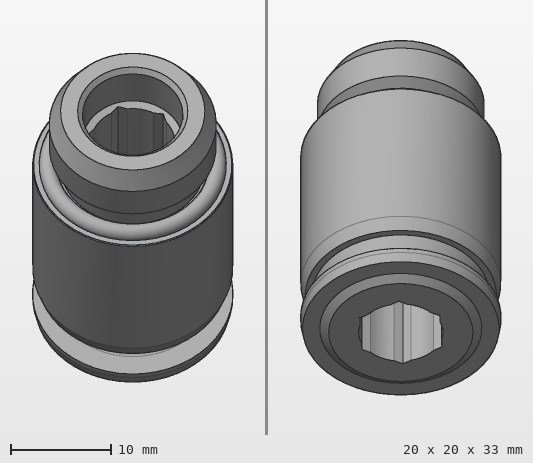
import cadquery as cq
import math

HEIGHT = 33.0
FLANGE_UNDERSIDE_Z = 0.55
FLANGE_TAPER_TOP_Z = 1.65
FLANGE_TOP_Z = 2.2
LOWER_CONE_Z = 3.6
UPPER_CONE_Z = 5.05
BODY_BOTTOM_Z = 6.57
BODY_TOP_Z = 23.95
RING_CENTRE_Z = 24.02
RING_TOP_Z = 24.9
HEAD_BOTTOM_Z = 26.45
HEAD_LOWER_EDGE_Z = 27.13
HEAD_UPPER_EDGE_Z = 30.92

FLANGE_DIAMETER = 20.0
FLANGE_BOTTOM_DIAMETER = 19.6
BASE_DIAMETER = 14.4
BASE_TOP_DIAMETER = 16.17
LOWER_NECK_DIAMETER = 14.9
NECK_FOOT_RADIUS = 0.4
LOWER_CONE_BOTTOM_DIAMETER = 16.83
LOWER_CONE_TOP_DIAMETER = 17.75
UPPER_CONE_BOTTOM_DIAMETER = 19.07
BODY_DIAMETER = 19.95
BODY_EDGE_CHAMFER = 0.1
RING_DIAMETER = 18.68
UPPER_NECK_DIAMETER = 14.52
HEAD_DIAMETER = 16.65
HEAD_TOP_DIAMETER = 14.4

COUNTERBORE_DIAMETER = 10.0
COUNTERBORE_DEPTH = 5.05
COUNTERBORE_CHAMFER = 0.5
FLOOR_DROP = 0.23
THROUGH_HOLE_DIAMETER = 8.4
HEX_ACROSS_FLATS = 8.0


def frustum(bottom_z, top_z, bottom_diameter, top_diameter):
    """Cone section, or cylinder when both diameters match, around the Z axis."""
    outline = [
        (0, bottom_z),
        (bottom_diameter / 2, bottom_z),
        (top_diameter / 2, top_z),
        (0, top_z),
    ]
    return cq.Workplane("XZ").polyline(outline).close().revolve(360, (0, 0), (0, 1))


def cylinder(bottom_z, top_z, diameter):
    return frustum(bottom_z, top_z, diameter, diameter)


def make_flange():
    base = frustum(0, FLANGE_UNDERSIDE_Z, BASE_DIAMETER, BASE_TOP_DIAMETER)
    taper = frustum(FLANGE_UNDERSIDE_Z, FLANGE_TAPER_TOP_Z, FLANGE_BOTTOM_DIAMETER, FLANGE_DIAMETER)
    rim = cylinder(FLANGE_TAPER_TOP_Z, FLANGE_TOP_Z, FLANGE_DIAMETER)
    return base.union(taper).union(rim)


def make_lower_neck():
    """Neck blended into the flange top by a concave quarter-round at its foot."""
    radius = LOWER_NECK_DIAMETER / 2
    arc_centre = (radius + NECK_FOOT_RADIUS, FLANGE_TOP_Z + NECK_FOOT_RADIUS)
    arc_offset = NECK_FOOT_RADIUS * math.sqrt(0.5)
    arc_middle = (arc_centre[0] - arc_offset, arc_centre[1] - arc_offset)
    return (
        cq.Workplane("XZ")
        .moveTo(0, FLANGE_TOP_Z)
        .lineTo(arc_centre[0], FLANGE_TOP_Z)
        .threePointArc(arc_middle, (radius, arc_centre[1]))
        .lineTo(radius, LOWER_CONE_Z)
        .lineTo(0, LOWER_CONE_Z)
        .close()
        .revolve(360, (0, 0), (0, 1))
    )


def make_body():
    lower_cone = frustum(
        LOWER_CONE_Z, UPPER_CONE_Z, LOWER_CONE_BOTTOM_DIAMETER, LOWER_CONE_TOP_DIAMETER
    )
    upper_cone = frustum(UPPER_CONE_Z, BODY_BOTTOM_Z, UPPER_CONE_BOTTOM_DIAMETER, BODY_DIAMETER)
    barrel = cylinder(BODY_BOTTOM_Z, BODY_TOP_Z, BODY_DIAMETER).faces(">Z").chamfer(BODY_EDGE_CHAMFER)
    return lower_cone.union(upper_cone).union(barrel)


def make_ring():
    """Round-section sealing ring, half sunk into the top of the body."""
    section_radius = RING_TOP_Z - RING_CENTRE_Z
    centre_radius = RING_DIAMETER / 2 - section_radius
    section = cq.Workplane("XZ").center(centre_radius, RING_CENTRE_Z).circle(section_radius)
    return section.revolve(360, (-centre_radius, 0), (-centre_radius, 1))


def make_head():
    neck = cylinder(BODY_TOP_Z, HEAD_BOTTOM_Z, UPPER_NECK_DIAMETER)
    underside = frustum(HEAD_BOTTOM_Z, HEAD_LOWER_EDGE_Z, UPPER_NECK_DIAMETER, HEAD_DIAMETER)
    collar = cylinder(HEAD_LOWER_EDGE_Z, HEAD_UPPER_EDGE_Z, HEAD_DIAMETER)
    nose = frustum(HEAD_UPPER_EDGE_Z, HEIGHT, HEAD_DIAMETER, HEAD_TOP_DIAMETER)
    return neck.union(underside).union(collar).union(nose)


def make_bore():
    """Chamfered, cone-floored counterbore above a round hole crossed by a hexagon, both going right through."""
    floor_z = HEIGHT - COUNTERBORE_DEPTH
    counterbore = cylinder(floor_z, HEIGHT, COUNTERBORE_DIAMETER)
    floor = frustum(floor_z - FLOOR_DROP, floor_z, THROUGH_HOLE_DIAMETER, COUNTERBORE_DIAMETER)
    mouth_diameter = COUNTERBORE_DIAMETER + 2 * COUNTERBORE_CHAMFER
    mouth = frustum(HEIGHT - COUNTERBORE_CHAMFER, HEIGHT, COUNTERBORE_DIAMETER, mouth_diameter)
    hole = cylinder(0, HEIGHT, THROUGH_HOLE_DIAMETER)
    across_corners = HEX_ACROSS_FLATS / math.cos(math.pi / 6)
    hexagon = (
        cq.Workplane("XY")
        .transformed(rotate=(0, 0, 90))
        .polygon(6, across_corners)
        .extrude(HEIGHT)
    )
    return counterbore.union(floor).union(mouth).union(hole).union(hexagon)


outside = make_flange().union(make_lower_neck()).union(make_body()).union(make_ring()).union(make_head())
result = outside.cut(make_bore())